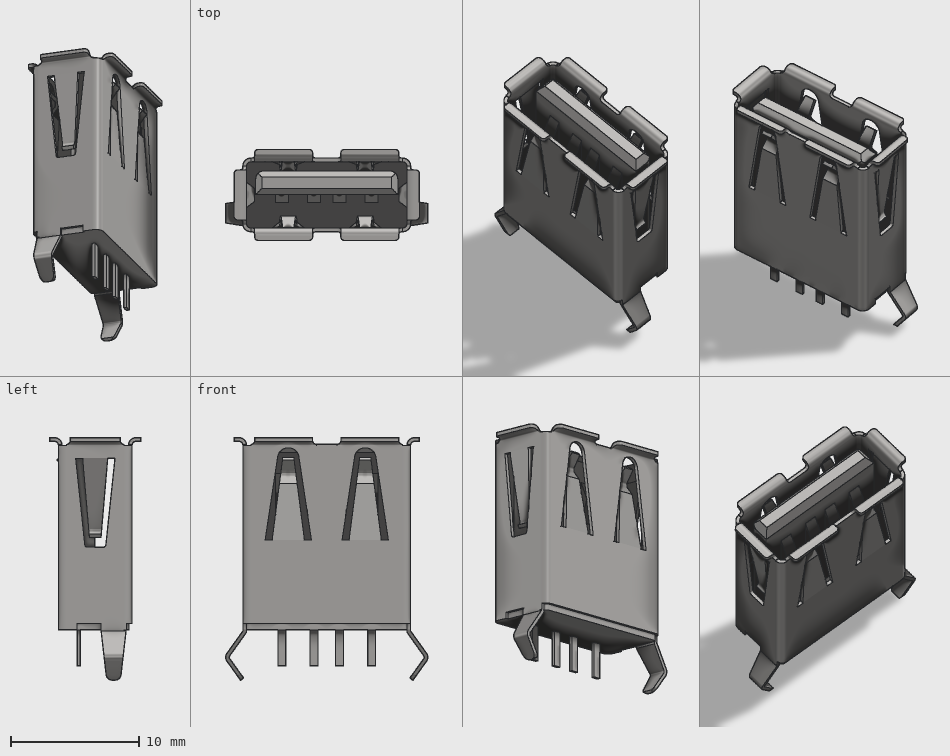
import cadquery as cq
import math



SHEET = 0.30
SHELL_X = 13.10
SHELL_Y = 5.76
CORNER_R = 0.63
FRONT_WALL_BOTTOM = 0.49
SIDE_NOTCH_Y = (-0.44, 1.41)
SIDE_WALL_FRONT_Y = -2.42

MOUTH_Z = 15.00
LIP_REACH = 0.68
LIP_BEND_R = 0.30
LIP_CORNER_R = 0.29
LIP_ROOT_R = 0.30
LIP_GAP_RISE = 0.07
LONG_LIP_X = 3.36
LONG_LIP_WIDTH = 4.52
SIDE_LIP_WIDTH = 3.90
BEND_Z = MOUTH_Z - SHEET - LIP_BEND_R

WINDOW_CUT_DEPTH = 1.5 * SHEET
TRIM_DEPTH = 3.00
STRIP_HALF_WIDTH = 3.00

SPRING_X = 3.00
LONG_WINDOW_BOTTOM = 7.00
LONG_WINDOW_TOP = 14.20
LONG_WINDOW_HALF_BOTTOM = 1.81
LONG_WINDOW_SHOULDER_Z = 13.50
LONG_WINDOW_HALF_SHOULDER = 0.83
LONG_SPRING_HALF_ROOT = 1.26
LONG_SPRING_HALF_TIP = 0.41
LONG_SPRING_TIP_Z = 13.60
LONG_SPRING_KNEE = (0.45, 11.40)
LONG_SPRING_NOSE = (1.03, 12.20)
LONG_SPRING_TIP = (0.12, 13.26)
BACK_SPRING_SAG = 0.24

SIDE_WINDOW_TOP = 13.37
SIDE_WINDOW_BOTTOM = 6.45
SIDE_WINDOW_HALF_TOP = 1.53
SIDE_WINDOW_HALF_BOTTOM = 0.80
SIDE_WINDOW_CORNER_R = 0.20
SIDE_SPRING_HALF_ROOT = 0.98
SIDE_SPRING_HALF_TIP = 0.45
SIDE_SPRING_TIP_Z = 7.15
SIDE_SPRING_NOSE = (0.65, 7.60)
SIDE_SPRING_TIP = (0.36, 7.46)
SPRING_BEND_R = 0.38

LEG_Y = -1.43
LEG_HALF_ROOT = 0.99
LEG_HALF_TIP = 0.54
LEG_TIP_R = 0.50
LEG_BOTTOM = -3.93
LEG_ROOT = (0, -0.09)
LEG_KNEE = (-1.46, -2.14)
LEG_TIP = (-0.17, LEG_BOTTOM)
LEG_BEND_R = 0.20

BASE_TOP = 2.50
BASE_PRESS_FIT = 0.06
TONGUE_X = 11.08
TONGUE_Y = (0.03, 1.87)
TONGUE_TOP = 14.50
TONGUE_CHAMFER = 0.48
TONGUE_CHAMFER_DROP = 0.65
TONGUE_BACK_R = 0.62

TERMINAL_X = (-3.50, -1.00, 1.00, 3.50)
CONTACT_WIDTH = 1.00
CONTACT_TOP = 12.18
CONTACT_NOSE_Z = 10.72
CONTACT_BOTTOM = 9.00
CONTACT_NOSE_Y = -0.60
CONTACT_NOSE_R = 0.20
PIN_WIDTH = 0.64
PIN_THICKNESS = 0.25
PIN_Y = 1.29
PIN_BOTTOM = -2.80

INNER_X = SHELL_X - 2 * SHEET
INNER_Y = SHELL_Y - 2 * SHEET
INNER_CORNER_R = CORNER_R - SHEET


def box(x_range, y_range, z_range):
    """Box from its limits along each axis."""
    size = [high - low for low, high in (x_range, y_range, z_range)]
    corner = (x_range[0], y_range[0], z_range[0])
    return cq.Workplane("XY").box(*size, centered=False).translate(corner)


def rounded_bar(size_x, size_y, corner_r, z_low, z_high):
    """Upright bar on the Z axis with rounded vertical corners."""
    bar = cq.Workplane("XY").workplane(offset=z_low).rect(size_x, size_y).extrude(z_high - z_low)
    return bar.edges("|Z").fillet(corner_r)


def on_wall(feature, side):
    """Move a feature from the wall frame onto the front, back, left or right wall."""
    turn = {"front": 0, "right": 90, "back": 180, "left": 270}[side]
    distance = SHELL_Y / 2 if side in ("front", "back") else SHELL_X / 2
    return feature.translate((0, -distance, 0)).rotate((0, 0, 0), (0, 0, 1), turn)


def outline_prism(outline, depth=TRIM_DEPTH):
    """Prism through the wall from an outline drawn on the wall face (x, z)."""
    return outline.close().extrude(depth, both=True)


def tapered_outline(z_root, half_root, z_tip, half_tip):
    """Symmetric trapezoid on the wall face."""
    return cq.Workplane("XZ").polyline([
        (-half_root, z_root), (half_root, z_root), (half_tip, z_tip), (-half_tip, z_tip),
    ])


def bent_strip(path, bend_index, path_side_r, far_side_r):
    """Sheet strip whose outer face follows a (y, z) path; the sheet lies to the +Y side.

    The bend at bend_index is rounded with one radius on each face. The strip is wider than any
    spring or leg, which are trimmed from it.
    """
    steps = [(b[0] - a[0], b[1] - a[1]) for a, b in zip(path, path[1:])]
    rise = math.copysign(1, path[-1][1] - path[0][1])
    normals = [(rise * dz / math.hypot(dy, dz), -rise * dy / math.hypot(dy, dz)) for dy, dz in steps]
    far_path = []
    for (y, z), n, m in zip(path, normals[:1] + normals, normals + normals[-1:]):
        mitre = SHEET / (1 + n[0] * m[0] + n[1] * m[1])
        far_path.append((y + mitre * (n[0] + m[0]), z + mitre * (n[1] + m[1])))
    profile = cq.Workplane("YZ").polyline(path + far_path[::-1]).close()
    strip = profile.extrude(STRIP_HALF_WIDTH, both=True)
    for points, radius in ((path, path_side_r), (far_path, far_side_r)):
        corner = cq.NearestToPointSelector((0, *points[bend_index]))
        strip = strip.edges("|X").edges(corner).fillet(radius)
    return strip


def lip(width):
    """Lip bent outward through a quarter turn, with filleted roots and rounded free corners."""
    half = width / 2
    root = half + LIP_ROOT_R
    gap_z = BEND_Z + LIP_GAP_RISE
    outer_r = LIP_BEND_R + SHEET
    profile = (
        cq.Workplane("YZ")
        .moveTo(0, BEND_Z)
        .radiusArc((-LIP_BEND_R, BEND_Z + LIP_BEND_R), -LIP_BEND_R)
        .lineTo(-LIP_REACH, BEND_Z + LIP_BEND_R)
        .lineTo(-LIP_REACH, MOUTH_Z)
        .lineTo(-LIP_BEND_R, MOUTH_Z)
        .radiusArc((SHEET, BEND_Z), outer_r)
        .close()
    )
    outline = (
        cq.Workplane("XZ")
        .moveTo(-root, BEND_Z)
        .lineTo(root, BEND_Z)
        .lineTo(root, gap_z)
        .radiusArc((half, gap_z + LIP_ROOT_R), LIP_ROOT_R)
        .lineTo(half, MOUTH_Z)
        .lineTo(-half, MOUTH_Z)
        .lineTo(-half, gap_z + LIP_ROOT_R)
        .radiusArc((-root, gap_z), LIP_ROOT_R)
    )
    bent = profile.extrude(root, both=True).intersect(outline_prism(outline))
    return bent.edges("|Z").edges("<Y").fillet(LIP_CORNER_R)


def long_window():
    """Tapered opening with an arched top."""
    outline = (
        cq.Workplane("XZ")
        .moveTo(-LONG_WINDOW_HALF_BOTTOM, LONG_WINDOW_BOTTOM)
        .lineTo(LONG_WINDOW_HALF_BOTTOM, LONG_WINDOW_BOTTOM)
        .lineTo(LONG_WINDOW_HALF_SHOULDER, LONG_WINDOW_SHOULDER_Z)
        .threePointArc((0, LONG_WINDOW_TOP), (-LONG_WINDOW_HALF_SHOULDER, LONG_WINDOW_SHOULDER_Z))
    )
    return outline_prism(outline, WINDOW_CUT_DEPTH)


def long_spring(sag):
    """Spring leaning inward from its root, then outward at the tip; sag shortens its reach."""
    bends = [(y - sag, z) for y, z in (LONG_SPRING_KNEE, LONG_SPRING_NOSE, LONG_SPRING_TIP)]
    path = [(0, LONG_WINDOW_BOTTOM), *bends]
    strip = bent_strip(path, 2, SPRING_BEND_R, SPRING_BEND_R + SHEET)
    outline = tapered_outline(
        LONG_WINDOW_BOTTOM, LONG_SPRING_HALF_ROOT, LONG_SPRING_TIP_Z, LONG_SPRING_HALF_TIP
    )
    return strip.intersect(outline_prism(outline))


def side_window():
    """Tapered opening, wide at the top, with rounded bottom corners."""
    outline = tapered_outline(
        SIDE_WINDOW_TOP, SIDE_WINDOW_HALF_TOP, SIDE_WINDOW_BOTTOM, SIDE_WINDOW_HALF_BOTTOM
    )
    prism = outline_prism(outline, WINDOW_CUT_DEPTH)
    return prism.edges("|Y").edges("<Z").fillet(SIDE_WINDOW_CORNER_R)


def side_spring():
    """Spring hanging inward from its root, with the tip turned outward."""
    path = [(0, SIDE_WINDOW_TOP), SIDE_SPRING_NOSE, SIDE_SPRING_TIP]
    strip = bent_strip(path, 1, SPRING_BEND_R, SPRING_BEND_R + SHEET)
    outline = tapered_outline(
        SIDE_WINDOW_TOP, SIDE_SPRING_HALF_ROOT, SIDE_SPRING_TIP_Z, SIDE_SPRING_HALF_TIP
    )
    return strip.intersect(outline_prism(outline))


def leg():
    """Tapered retention leg, kinked outward, with a rounded end."""
    path = [(0, 0), LEG_ROOT, LEG_KNEE, LEG_TIP]
    strip = bent_strip(path, 2, LEG_BEND_R + SHEET, LEG_BEND_R)
    outline = tapered_outline(0, LEG_HALF_ROOT, LEG_BOTTOM, LEG_HALF_TIP)
    prism = outline_prism(outline).edges("|Y").edges("<Z").fillet(LEG_TIP_R)
    return strip.intersect(prism)


def shell():
    """Folded tube with its bottom edge cut back at the front and notched at the sides."""
    tube = rounded_bar(SHELL_X, SHELL_Y, CORNER_R, 0, BEND_Z)
    tube = tube.cut(rounded_bar(INNER_X, INNER_Y, INNER_CORNER_R, 0, BEND_Z))
    across = (-SHELL_X, SHELL_X)
    relief_z = (0, FRONT_WALL_BOTTOM)
    tube = tube.cut(box(across, (-SHELL_Y, SIDE_WALL_FRONT_Y), relief_z))
    tube = tube.cut(box(across, SIDE_NOTCH_Y, relief_z))

    rim_z = (BEND_Z, BEND_Z + LIP_GAP_RISE)
    gap_half = LONG_LIP_X - LONG_LIP_WIDTH / 2 - LIP_ROOT_R
    rim = box((-gap_half, gap_half), (0, SHEET), rim_z)

    for side, sag in (("front", 0), ("back", BACK_SPRING_SAG)):
        tube = tube.union(on_wall(rim, side))
        for x in (-1, 1):
            spring_shift = (x * SPRING_X, 0, 0)
            tube = tube.cut(on_wall(long_window().translate(spring_shift), side))
            tube = tube.union(on_wall(long_spring(sag).translate(spring_shift), side))
            tube = tube.union(on_wall(lip(LONG_LIP_WIDTH).translate((x * LONG_LIP_X, 0, 0)), side))

    for side, along in (("left", -1), ("right", 1)):
        tube = tube.cut(on_wall(side_window(), side))
        tube = tube.union(on_wall(side_spring(), side))
        tube = tube.union(on_wall(lip(SIDE_LIP_WIDTH), side))
        tube = tube.union(on_wall(leg().translate((along * LEG_Y, 0, 0)), side))
    return tube


def tongue():
    """Contact carrier with bevelled top edges and rounded back corners."""
    size_y = TONGUE_Y[1] - TONGUE_Y[0]
    bevel_z = TONGUE_TOP - TONGUE_CHAMFER_DROP
    bevel_angle = math.degrees(math.atan2(TONGUE_CHAMFER, TONGUE_CHAMFER_DROP))
    straight = cq.Workplane("XY").rect(TONGUE_X, size_y).extrude(bevel_z)
    bevel = (
        cq.Workplane("XY")
        .workplane(offset=bevel_z)
        .rect(TONGUE_X, size_y)
        .extrude(TONGUE_CHAMFER_DROP, taper=bevel_angle)
    )
    envelope = cq.Workplane("XY").rect(TONGUE_X, size_y).extrude(TONGUE_TOP)
    envelope = envelope.edges("|Z").edges(">Y").fillet(TONGUE_BACK_R)
    return straight.union(bevel).intersect(envelope).translate((0, sum(TONGUE_Y) / 2, 0))


def contact():
    """Contact bowed out of the tongue's front face."""
    root_y = TONGUE_Y[0]
    profile = cq.Workplane("YZ").polyline([
        (root_y, CONTACT_TOP), (CONTACT_NOSE_Y, CONTACT_NOSE_Z), (root_y, CONTACT_BOTTOM),
    ])
    bow = profile.close().extrude(CONTACT_WIDTH / 2, both=True)
    return bow.edges("<Y").fillet(CONTACT_NOSE_R)


def pin():
    """Solder pin below the base."""
    return box(
        (-PIN_WIDTH / 2, PIN_WIDTH / 2),
        (PIN_Y - PIN_THICKNESS / 2, PIN_Y + PIN_THICKNESS / 2),
        (PIN_BOTTOM, 0),
    )


def insulator_with_terminals():
    base_x = INNER_X + 2 * BASE_PRESS_FIT
    base_y = INNER_Y + 2 * BASE_PRESS_FIT
    base = rounded_bar(base_x, base_y, INNER_CORNER_R + BASE_PRESS_FIT, 0, BASE_TOP)
    body = base.union(tongue())
    for x in TERMINAL_X:
        body = body.union(contact().translate((x, 0, 0)))
        body = body.union(pin().translate((x, 0, 0)))
    return body


result = shell().union(insulator_with_terminals())